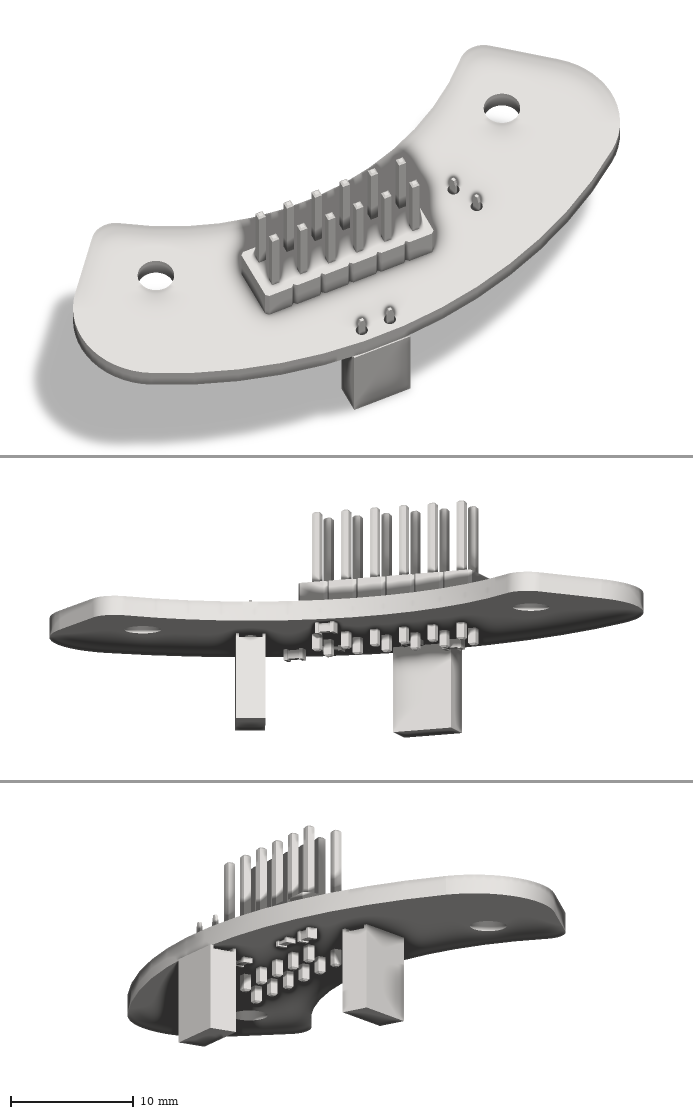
import cadquery as cq
import math


BOARD_THICKNESS = 1.6
OUTER_RADIUS = 40.0
INNER_RADIUS = 25.0
UPPER_END_ANGLE = 50.4
LOWER_END_ANGLE = -39.4
OUTER_CORNER_RADIUS = 6.65
INNER_CORNER_RADIUS = 2.0
MOUNT_HOLE_DIAMETER = 3.0
MOUNT_HOLE_ORBIT = 30.05
MOUNT_HOLE_INSET_ANGLE = 11.5
LEAD_HOLE_DIAMETER = 1.0

PITCH = 2.55
HEADER_ROWS = 6
HEADER_COLUMNS = 2
HEADER_X = 31.7
HEADER_Y = -0.05
HEADER_WIDTH = 5.0
HEADER_HEIGHT = 2.55
CELL_CHAMFER = 0.25
PIN_WIDTH = 0.65
PIN_TIP_CHAMFER = 0.15
PIN_RISE = 8.6
PIN_DROP = 1.4

BLOCK_LENGTH = 5.1
BLOCK_WIDTH = 2.45
BLOCK_DROP = 7.1
CHANNEL_WIDTH = 1.9
CHANNEL_DEPTH = 0.3
LEAD_LENGTH = 0.6
LEAD_WIDTH = 0.25
LEAD_RISE = 1.4
LEAD_TIP_HEIGHT = 0.6
LEAD_TIP_INSET = 0.15
BLOCK_PLACES = [
    (30.35, 12.15, 22.5),
    (38.85, -0.025, 90),
]

CHIP_LENGTH = 1.65
CHIP_WIDTH = 0.85
TERMINAL_LENGTH = 0.3
CHIP_RECESS = 0.1
CAPACITOR_HEIGHT = 0.9
RESISTOR_HEIGHT = 0.45
CAPACITOR_PLACES = [
    (26.2, 3.85),
    (36.15, -3.4),
    (35.5, 10.35),
]
RESISTOR_PLACES = [
    (35.5, 0),
    (35.5, 6.9),
]


def polar(radius, angle):
    """Point at a radius and an angle in degrees from the rim centre."""
    return radius * math.cos(math.radians(angle)), radius * math.sin(math.radians(angle))


def end_points(end_angle, side):
    """Rim, corner and straight-edge points of a board end; side is +1 for the upper end."""
    outer_orbit = OUTER_RADIUS - OUTER_CORNER_RADIUS
    inner_orbit = INNER_RADIUS + INNER_CORNER_RADIUS
    outer_turn = math.degrees(math.asin(OUTER_CORNER_RADIUS / outer_orbit))
    inner_turn = math.degrees(math.asin(INNER_CORNER_RADIUS / inner_orbit))
    outer_angle = end_angle - side * outer_turn
    inner_angle = end_angle - side * inner_turn
    outer_centre = cq.Vector(*polar(outer_orbit, outer_angle))
    inner_centre = cq.Vector(*polar(inner_orbit, inner_angle))
    outer_middle = (outer_angle + end_angle + side * 90) / 2
    inner_middle = (inner_angle + 180 * side + end_angle + side * 90) / 2
    return {
        "outer_rim": polar(OUTER_RADIUS, outer_angle),
        "outer_middle": outer_centre + cq.Vector(*polar(OUTER_CORNER_RADIUS, outer_middle)),
        "outer_edge": polar(math.sqrt(outer_orbit**2 - OUTER_CORNER_RADIUS**2), end_angle),
        "inner_edge": polar(math.sqrt(inner_orbit**2 - INNER_CORNER_RADIUS**2), end_angle),
        "inner_middle": inner_centre + cq.Vector(*polar(INNER_CORNER_RADIUS, inner_middle)),
        "inner_rim": polar(INNER_RADIUS, inner_angle),
    }


def row_y(row):
    """Y of the centre of a header row."""
    return HEADER_Y + (row - (HEADER_ROWS - 1) / 2) * PITCH


def header_pin_points():
    """Centres of the header's pins."""
    return [
        (HEADER_X + (column - (HEADER_COLUMNS - 1) / 2) * PITCH, row_y(row))
        for column in range(HEADER_COLUMNS)
        for row in range(HEADER_ROWS)
    ]


def lead_points(place):
    """Centres of the two leads of a block."""
    x, y, angle = place
    dx, dy = polar(PITCH / 2, angle)
    return [(x - dx, y - dy), (x + dx, y + dy)]


def make_board():
    """Arc-shaped board with rounded ends, mounting holes, lead holes and pin holes."""
    upper = end_points(UPPER_END_ANGLE, 1)
    lower = end_points(LOWER_END_ANGLE, -1)
    board = (
        cq.Workplane("XY")
        .moveTo(*lower["outer_rim"])
        .threePointArc((OUTER_RADIUS, 0), upper["outer_rim"])
        .threePointArc(upper["outer_middle"].toTuple()[:2], upper["outer_edge"])
        .lineTo(*upper["inner_edge"])
        .threePointArc(upper["inner_middle"].toTuple()[:2], upper["inner_rim"])
        .threePointArc((INNER_RADIUS, 0), lower["inner_rim"])
        .threePointArc(lower["inner_middle"].toTuple()[:2], lower["inner_edge"])
        .lineTo(*lower["outer_edge"])
        .threePointArc(lower["outer_middle"].toTuple()[:2], lower["outer_rim"])
        .close()
        .extrude(BOARD_THICKNESS)
    )
    mount_angles = [UPPER_END_ANGLE - MOUNT_HOLE_INSET_ANGLE, LOWER_END_ANGLE + MOUNT_HOLE_INSET_ANGLE]
    mount_points = [polar(MOUNT_HOLE_ORBIT, angle) for angle in mount_angles]
    all_leads = [point for place in BLOCK_PLACES for point in lead_points(place)]
    mount_holes = cq.Workplane("XY").pushPoints(mount_points).circle(MOUNT_HOLE_DIAMETER / 2)
    lead_holes = cq.Workplane("XY").pushPoints(all_leads).circle(LEAD_HOLE_DIAMETER / 2)
    pin_holes = cq.Workplane("XY").pushPoints(header_pin_points()).rect(PIN_WIDTH, PIN_WIDTH)
    for holes in (mount_holes, lead_holes, pin_holes):
        board = board.cut(holes.extrude(BOARD_THICKNESS))
    return board


def make_header():
    """Row of chamfered cells on top of the board, with square pins through it."""
    header = cq.Workplane("XY")
    for row in range(HEADER_ROWS):
        cell = (
            cq.Workplane("XY", origin=(HEADER_X, row_y(row), BOARD_THICKNESS))
            .rect(HEADER_WIDTH, PITCH)
            .extrude(HEADER_HEIGHT)
            .edges("|Z")
            .chamfer(CELL_CHAMFER)
        )
        header = header.union(cell)
    pin_length = PIN_DROP + BOARD_THICKNESS + PIN_RISE
    for x, y in header_pin_points():
        pin = (
            cq.Workplane("XY", origin=(x, y, -PIN_DROP))
            .rect(PIN_WIDTH, PIN_WIDTH)
            .extrude(pin_length)
            .faces("<Z or >Z")
            .chamfer(PIN_TIP_CHAMFER)
        )
        header = header.union(pin)
    return header


def make_lead():
    """Flat lead, standing on z = 0, whose tip narrows along its long side."""
    height = CHANNEL_DEPTH + BOARD_THICKNESS + LEAD_RISE
    half_length = LEAD_LENGTH / 2
    half_tip = half_length - LEAD_TIP_INSET
    outline = [
        (-half_length, 0),
        (half_length, 0),
        (half_length, height - LEAD_TIP_HEIGHT),
        (half_tip, height),
        (-half_tip, height),
        (-half_length, height - LEAD_TIP_HEIGHT),
    ]
    return cq.Workplane("XZ").polyline(outline).close().extrude(LEAD_WIDTH / 2, both=True)


def make_block(place):
    """Upright block with a channel along its top and two flat leads through the board."""
    x, y, angle = place
    block = cq.Workplane("XY").box(BLOCK_LENGTH, BLOCK_WIDTH, BLOCK_DROP, centered=(True, True, False))
    channel = cq.Workplane("XY").box(BLOCK_LENGTH, CHANNEL_WIDTH, CHANNEL_DEPTH, centered=(True, True, False))
    channel_floor = BLOCK_DROP - CHANNEL_DEPTH
    block = block.cut(channel.translate((0, 0, channel_floor)))
    lead = make_lead()
    for lead_x in (-PITCH / 2, PITCH / 2):
        block = block.union(lead.translate((lead_x, 0, channel_floor)))
    return block.rotate((0, 0, 0), (0, 0, 1), angle).translate((x, y, -BLOCK_DROP))


def make_chip(place, height):
    """Chip hanging from the board: two full-size terminals and a slightly smaller middle."""
    x, y = place
    chip = cq.Workplane("XY").box(CHIP_WIDTH - 2 * CHIP_RECESS, CHIP_LENGTH, height - 2 * CHIP_RECESS)
    for side in (-1, 1):
        terminal = cq.Workplane("XY").box(CHIP_WIDTH, TERMINAL_LENGTH, height)
        chip = chip.union(terminal.translate((0, side * (CHIP_LENGTH - TERMINAL_LENGTH) / 2, 0)))
    return chip.translate((x, y, -height / 2))


board = make_board()
header = make_header()
blocks = [make_block(place) for place in BLOCK_PLACES]
capacitors = [make_chip(place, CAPACITOR_HEIGHT) for place in CAPACITOR_PLACES]
resistors = [make_chip(place, RESISTOR_HEIGHT) for place in RESISTOR_PLACES]

result = cq.Compound.makeCompound(
    [body.val() for body in [board, header, *blocks, *capacitors, *resistors]]
)